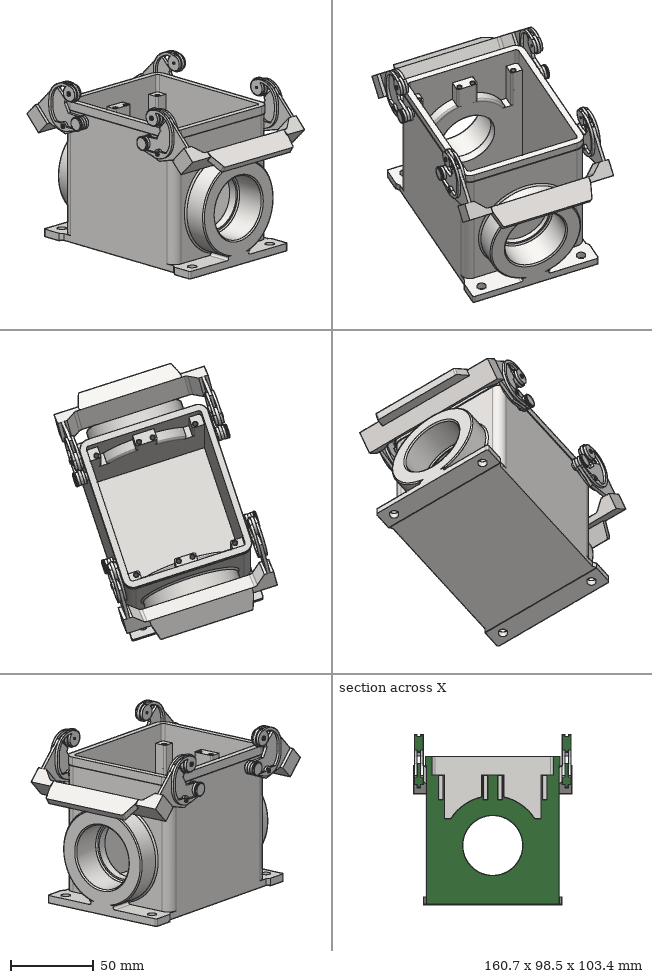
import cadquery as cq
import math

OVERLAP = 1.0
DIAGONAL = math.sqrt(0.5)

BODY_LENGTH = 95.0
BODY_WIDTH = 80.9
BODY_BOTTOM = 0.5
BODY_CORNER_R = 6.0
LIP_BOTTOM = 84.6
LIP_OVERHANG = 0.5
BODY_TOP = 90.2
CAVITY_LENGTH = 87.8
CAVITY_WIDTH = 73.6
CAVITY_CORNER_R = 1.8
FLOOR_TOP = 4.5

FOOT_END = 62.8
FOOT_INNER_END = 49.6
FOOT_TAPER_END = 47.2
FOOT_WIDTH = 84.0
FOOT_TOP = 4.8
FOOT_CORNER_R = 1.2
FOOT_ROOT_R = 1.2
MOUNT_HOLE_D = 5.6
MOUNT_HOLE_X = 56.1
MOUNT_HOLE_Y = 33.3

ENTRY_Z = 36.1
ENTRY_R = 30.3
ENTRY_ROOT_R = 1.1
ENTRY_EDGE = 0.8
NECK_FILLET_R = 1.3
BORE_R = 20.2
BORE_EDGE = 0.9
BORE_SEAT_CHAMFER = 0.9
THROAT_R = 18.2
THROAT_END = 42.4
MEMBRANE_FACE = 39.1

POST_FACE = 36.75
POST_TOP = 79.0
CORNER_POST_INNER_Y = 29.2
LEDGE_INNER_Y = 25.5
CENTER_POST_WIDTH = 13.6
POST_CORNER_R = 1.2
MOUND_EDGE_R = 1.4
LEDGE_Z = ENTRY_Z + math.sqrt(ENTRY_R**2 - LEDGE_INNER_Y**2)
SCREW_HOLE_D = 2.6
SCREW_HOLE_CHAMFER = 0.3
SCREW_HOLE_DEPTH = 15.0
SCREW_HOLE_X = 38.8
SCREW_HOLE_YS = (-31.6, -4.4, 4.4, 31.6)

PLATE_INNER_Y = 43.9
PLATE_OUTER_Y = 45.9
RIM_THICKNESS = 1.7
RIM_R = 13.0
RIM_INNER_R = 11.1
RIM_X = -40.0
LEVER_TOP = 103.44
RIM_UPPER_Z = LEVER_TOP - RIM_R
RIM_STRAIGHT = 4.4
RIM_LOWER_Z = RIM_UPPER_Z - RIM_STRAIGHT
RIM_FLOOR_Z = 77.7
RIM_TAIL_Z = 76.1
HOOK_X = -35.6
HOOK_R = 5.7
HOOK_CHEEK_R = 4.9
HOOK_Z = LEVER_TOP - HOOK_R
PIVOT_X = -28.3
PIVOT_Z = 80.2
PIVOT_DISC_R = 4.2
PIVOT_CORE_R = 4.0
PIVOT_SHAFT_R = 2.4
PIVOT_HEAD_R = 4.4
PIVOT_HEAD_BOTTOM = 48.1
PIVOT_HEAD_TOP = 49.25
PIVOT_HEAD_EDGE = 0.5
PIN_X = -40.7
PIN_Z = 76.1
PIN_R = 1.4
PIN_BOSS_R = 2.6
PIN_TIP_Y = 48.1
PIN_DIMPLE_R = 0.7
PIN_DIMPLE_DEPTH = 0.5
PLATE_NOTCH = [(-48.65, 100.1), (-40.4, 92.6), (-41.3, 90.4), (-37.8, 84.6)]
PLATE_HEEL = (-40.4, 70.9)

BAR_CORNER_X = -64.0
BAR_HEIGHT = 14.2
BAR_DEPTH = 10.4
BAR_SETBACK = 6.5
BAR_HALF_WIDTH = 48.1
BAR_BEVEL_OUTER_Y = 42.1
BAR_BEVEL_INNER_Y = 35.5
BAR_BEND_R = 2.9

HANDLE_TIP_X = -80.35
HANDLE_TIP_Z = 72.3
HANDLE_THICKNESS = 4.4
HANDLE_ROOT_Y = 32.7
HANDLE_TIP_Y = 29.6
HANDLE_STRAIGHT = 3.5
HANDLE_CORNER_R = 1.2


def box(x_range, y_range, z_range):
    """Axis-aligned box between two limits on each axis."""
    (x0, x1), (y0, y1), (z0, z1) = x_range, y_range, z_range
    return cq.Workplane("XY").box(x1 - x0, y1 - y0, z1 - z0, centered=False).translate((x0, y0, z0))


def x_cylinder(radius, x0, x1, y=0.0, z=ENTRY_Z):
    """Cylinder along X."""
    return cq.Workplane("YZ", origin=(x0, 0, 0)).center(y, z).circle(radius).extrude(x1 - x0)


def y_cylinder(radius, x, z, y0, y1):
    """Cylinder along Y."""
    return cq.Workplane("XZ", origin=(0, y0, 0)).center(x, z).circle(radius).extrude(y0 - y1)


def rounded_block(length, width, radius, z0, z1):
    """Upright block centred on the Z axis with rounded vertical edges."""
    block = cq.Workplane("XY", origin=(0, 0, z0)).rect(length, width).extrude(z1 - z0)
    return block.edges("|Z").fillet(radius)


def both_ends(shape):
    """A shape at the -X end together with its mirror image at the +X end."""
    return shape.union(shape.mirror("YZ"))


def both_sides(shape):
    """A shape on the +Y side together with its mirror image on the -Y side."""
    return shape.union(shape.mirror("XZ"))


def housing_shell():
    """Solid housing block with its lip."""
    shell = rounded_block(BODY_LENGTH, BODY_WIDTH, BODY_CORNER_R, BODY_BOTTOM, BODY_TOP)
    lip = rounded_block(
        BODY_LENGTH + 2 * LIP_OVERHANG,
        BODY_WIDTH + 2 * LIP_OVERHANG,
        BODY_CORNER_R + LIP_OVERHANG,
        LIP_BOTTOM,
        BODY_TOP,
    )
    return shell.union(lip)


def foot():
    """Foot plate at the -X end, tapering into the side walls of the housing."""
    half_width = FOOT_WIDTH / 2
    plate = box((-FOOT_END, -FOOT_INNER_END), (-half_width, half_width), (0, FOOT_TOP))
    plate = plate.edges("|Z and <X").fillet(FOOT_CORNER_R)
    one_side = [(-FOOT_INNER_END, half_width), (-FOOT_TAPER_END, BODY_WIDTH / 2), (0, BODY_WIDTH / 2)]
    outline = one_side + [(x, -y) for x, y in reversed(one_side)]
    taper = cq.Workplane("XY", origin=(0, 0, BODY_BOTTOM)).polyline(outline).close()
    return plate.union(taper.extrude(FOOT_TOP - BODY_BOTTOM))


def foot_root():
    """Concave fillet between the foot and the -X wall, following the rounded wall corners."""
    wall = -BODY_LENGTH / 2
    axis_y = BODY_WIDTH / 2 - BODY_CORNER_R
    top = FOOT_TOP + FOOT_ROOT_R
    bend = FOOT_ROOT_R * (1 - DIAGONAL)

    def profile(plane):
        sketch = cq.Workplane(plane).moveTo(-OVERLAP, 0).lineTo(FOOT_ROOT_R, 0)
        sketch = sketch.threePointArc((bend, bend), (0, FOOT_ROOT_R))
        return sketch.lineTo(-OVERLAP, FOOT_ROOT_R).close()

    straight = cq.Plane(origin=(wall, axis_y, FOOT_TOP), xDir=(-1, 0, 0), normal=(0, -1, 0))
    root = profile(straight).extrude(2 * axis_y)
    for side in (-1, 1):
        plane = cq.Plane(origin=(wall, side * axis_y, FOOT_TOP), xDir=(-1, 0, 0), normal=(0, -1, 0))
        turn = profile(plane).revolve(360, (-BODY_CORNER_R, 0, 0), (-BODY_CORNER_R, 1, 0))
        quarter = sorted((side * axis_y, side * FOOT_WIDTH / 2))
        root = root.union(turn.intersect(box((-FOOT_END, -FOOT_TAPER_END), quarter, (0, top))))
    return root


def mounting_holes():
    """Four holes through the feet."""
    points = [(sx * MOUNT_HOLE_X, sy * MOUNT_HOLE_Y) for sx in (-1, 1) for sy in (-1, 1)]
    return cq.Workplane("XY").pushPoints(points).circle(MOUNT_HOLE_D / 2).extrude(FOOT_TOP)


def entry_boss():
    """Round boss on the -X wall, standing on the foot through a filleted neck."""
    wall = -BODY_LENGTH / 2
    boss = x_cylinder(ENTRY_R, -FOOT_END, wall + OVERLAP).faces("<X").chamfer(ENTRY_EDGE)
    root = x_cylinder(ENTRY_R + ENTRY_ROOT_R, wall - ENTRY_ROOT_R, wall + OVERLAP)
    root = root.faces("<X").chamfer(ENTRY_ROOT_R)
    root = root.intersect(box((-FOOT_END, 0), (-FOOT_WIDTH, FOOT_WIDTH), (FOOT_TOP, BODY_TOP)))

    fillet_z = FOOT_TOP + NECK_FILLET_R
    fillet_y = math.sqrt((ENTRY_R + NECK_FILLET_R) ** 2 - (ENTRY_Z - fillet_z) ** 2)
    tangent_z = ENTRY_Z - (ENTRY_Z - fillet_z) * ENTRY_R / (ENTRY_R + NECK_FILLET_R)
    neck = box((-FOOT_END, wall), (-fillet_y, fillet_y), (FOOT_TOP, tangent_z))
    for side in (-1, 1):
        neck = neck.cut(x_cylinder(NECK_FILLET_R, -FOOT_END, wall, side * fillet_y, fillet_z))
    return boss.union(root).union(neck)


def end_wall_space():
    """Space to be cleared above the thick -X end wall, leaving the screw posts standing."""
    half_width = CAVITY_WIDTH / 2
    half_post = CENTER_POST_WIDTH / 2
    wall = -CAVITY_LENGTH / 2 - OVERLAP
    ends = (wall, -POST_FACE)
    base = box(ends, (-half_width, half_width), (0, LEDGE_Z)).union(x_cylinder(ENTRY_R, *ends))
    base = base.faces(">X").edges(">Z or (not(|Y or |Z))").fillet(MOUND_EDGE_R)
    posts = box(ends, (-half_post, half_post), (LEDGE_Z, POST_TOP))
    posts = posts.edges("|Z and >X").fillet(POST_CORNER_R)
    post = box(ends, (CORNER_POST_INNER_Y, half_width + OVERLAP), (0, POST_TOP))
    post = post.edges("|Z and >X and <Y").fillet(POST_CORNER_R)
    posts = posts.union(both_sides(post))
    space = box(ends, (-half_width, half_width), (0, BODY_TOP))
    return space.cut(base).cut(posts)


def cavity():
    """Inside of the housing, without the thick end walls and screw posts."""
    block = rounded_block(CAVITY_LENGTH, CAVITY_WIDTH, CAVITY_CORNER_R, FLOOR_TOP, BODY_TOP)
    middle = box((-POST_FACE, POST_FACE), (-BODY_WIDTH / 2, BODY_WIDTH / 2), (FLOOR_TOP, BODY_TOP))
    return block.intersect(middle.union(both_ends(end_wall_space())))


def screw_holes():
    """Chamfered blind holes in the tops of the screw posts."""
    points = [(sx * SCREW_HOLE_X, y) for sx in (-1, 1) for y in SCREW_HOLE_YS]
    radius = SCREW_HOLE_D / 2
    top = cq.Workplane("XY", origin=(0, 0, POST_TOP)).pushPoints(points)
    holes = top.circle(radius).extrude(-SCREW_HOLE_DEPTH)
    for x, y in points:
        start = cq.Vector(x, y, POST_TOP)
        down = cq.Vector(0, 0, -1)
        mouth = cq.Solid.makeCone(radius + SCREW_HOLE_CHAMFER, radius, SCREW_HOLE_CHAMFER, start, down)
        holes = holes.union(cq.Workplane(mouth))
    return holes


def entry_bores():
    """Stepped bores: closed by a thin membrane at the -X end, open right through at the +X end."""
    bore = x_cylinder(BORE_R, -FOOT_END, -THROAT_END).faces(">X").chamfer(BORE_SEAT_CHAMFER)
    mouth = cq.Workplane("YZ", origin=(-FOOT_END, 0, 0)).center(0, ENTRY_Z).circle(BORE_R + BORE_EDGE)
    mouth = mouth.workplane(offset=BORE_EDGE).circle(BORE_R).loft()
    closed_throat = x_cylinder(THROAT_R, -FOOT_END, -MEMBRANE_FACE)
    open_throat = x_cylinder(THROAT_R, POST_FACE - OVERLAP, FOOT_END)
    return both_ends(bore.union(mouth)).union(closed_throat).union(open_throat)


def bar_point(along, across):
    """Point (x, z) at a distance along the lever arm (down, outwards) and across it (down, inwards)."""
    top_z = bar_corner_z()
    return (BAR_CORNER_X + (across - along) * DIAGONAL, top_z - (across + along) * DIAGONAL)


def bar_corner_z():
    """Height at which the 45 degree upper edge, tangent to the rim, reaches the crossbar."""
    return RIM_UPPER_Z + RIM_R * math.sqrt(2) + BAR_CORNER_X - RIM_X


def tail_tangent_points():
    """Ends of the straight lower edge that touches both the rim and the pivot disc."""
    dx = PIVOT_X - RIM_X
    dz = PIVOT_Z - RIM_LOWER_Z
    angle = math.atan2(dz, dx) - math.acos((RIM_R - PIVOT_DISC_R) / math.hypot(dx, dz))
    rim_end = (RIM_X + RIM_R * math.cos(angle), RIM_LOWER_Z + RIM_R * math.sin(angle))
    pivot_end = (PIVOT_X + PIVOT_DISC_R * math.cos(angle), PIVOT_Z + PIVOT_DISC_R * math.sin(angle))
    return rim_end, pivot_end


def rim(y0, y1):
    """C-shaped rim that runs from the pivot round to the hook."""
    def stadium(radius):
        upper = y_cylinder(radius, RIM_X, RIM_UPPER_Z, y0, y1)
        lower = y_cylinder(radius, RIM_X, RIM_LOWER_Z, y0, y1)
        middle = box((RIM_X - radius, RIM_X + radius), (y0, y1), (RIM_LOWER_Z, RIM_UPPER_Z))
        return upper.union(lower).union(middle)

    right_end = RIM_X + RIM_R
    rim_end, pivot_end = tail_tangent_points()
    tail = cq.Workplane("XZ", origin=(0, y0, 0))
    tail = tail.polyline([rim_end, pivot_end, (PIVOT_X, PIVOT_Z), (RIM_X, RIM_LOWER_Z)]).close()
    shape = stadium(RIM_R).union(tail.extrude(y0 - y1))

    above_floor = box((RIM_X - RIM_R, PIN_X), (y0, y1), (RIM_FLOOR_Z, LEVER_TOP))
    above_tail = box((PIN_X, right_end), (y0, y1), (RIM_TAIL_Z, LEVER_TOP))
    opening = stadium(RIM_INNER_R).intersect(above_floor.union(above_tail))
    below_hook = box((PIN_X, right_end), (y0, y1), (RIM_TAIL_Z, RIM_UPPER_Z))
    beyond_hook = box((HOOK_X, right_end), (y0, y1), (RIM_UPPER_Z, LEVER_TOP))
    shape = shape.cut(opening).cut(below_hook).cut(beyond_hook)

    for radius, x, z in (
        (HOOK_CHEEK_R, HOOK_X, HOOK_Z),
        (PIN_BOSS_R, PIN_X, PIN_Z),
        (PIVOT_DISC_R, PIVOT_X, PIVOT_Z),
    ):
        shape = shape.union(y_cylinder(radius, x, z, y0, y1))
    return shape


def cheek():
    """Lever cheek on the +Y side: middle plate, a rim on both of its faces, hook roller, pins and pivot."""
    pivot_end = tail_tangent_points()[1]
    outline = [
        bar_point(0, 0),
        *PLATE_NOTCH,
        (PIVOT_X, PIVOT_Z + PIVOT_CORE_R),
        (PIVOT_X, PIVOT_Z),
        pivot_end,
        PLATE_HEEL,
        bar_point(0, BAR_HEIGHT),
    ]
    shape = cq.Workplane("XZ", origin=(0, PLATE_INNER_Y, 0)).polyline(outline).close()
    shape = shape.extrude(PLATE_INNER_Y - PLATE_OUTER_Y)
    inner_y = PLATE_INNER_Y - RIM_THICKNESS
    outer_y = PLATE_OUTER_Y + RIM_THICKNESS
    shape = shape.union(rim(inner_y, PLATE_INNER_Y)).union(rim(PLATE_OUTER_Y, outer_y))
    shape = shape.union(y_cylinder(HOOK_R, HOOK_X, HOOK_Z, PLATE_INNER_Y, PLATE_OUTER_Y))
    shape = shape.union(y_cylinder(PIVOT_CORE_R, PIVOT_X, PIVOT_Z, PLATE_INNER_Y, PLATE_OUTER_Y))

    head = y_cylinder(PIVOT_HEAD_R, PIVOT_X, PIVOT_Z, PIVOT_HEAD_BOTTOM, PIVOT_HEAD_TOP)
    head = head.faces(">Y").chamfer(PIVOT_HEAD_EDGE)
    shaft = y_cylinder(PIVOT_SHAFT_R, PIVOT_X, PIVOT_Z, BODY_WIDTH / 2 - OVERLAP, PIVOT_HEAD_TOP)
    shape = shape.union(head).union(shaft)

    for x, z in ((HOOK_X, HOOK_Z), (PIN_X, PIN_Z)):
        shape = shape.union(y_cylinder(PIN_R, x, z, outer_y, PIN_TIP_Y))
        shape = shape.cut(y_cylinder(PIN_DIMPLE_R, x, z, PIN_TIP_Y - PIN_DIMPLE_DEPTH, PIN_TIP_Y))
        shape = shape.cut(y_cylinder(PIN_DIMPLE_R, x, z, inner_y, inner_y + PIN_DIMPLE_DEPTH))
    return shape


def crossbar():
    """Bar across the lever, standing at 45 degrees, set back between its two end blocks."""
    x, z = bar_point(0, 0)
    plane = cq.Plane(origin=(x, 0, z), xDir=(0, -1, 0), normal=(DIAGONAL, 0, -DIAGONAL))
    one_side = [(-BAR_HALF_WIDTH, BAR_DEPTH), (-BAR_HALF_WIDTH, 0), (-BAR_BEVEL_OUTER_Y, 0)]
    one_side += [(-BAR_BEVEL_INNER_Y, BAR_SETBACK)]
    outline = one_side + [(-y, along) for y, along in reversed(one_side)]
    bar = cq.Workplane(plane).polyline(outline).close().extrude(BAR_HEIGHT)
    bends = cq.selectors.BoxSelector(
        (x - BAR_HEIGHT, -BAR_BEVEL_INNER_Y - OVERLAP, 0), (x + BAR_HEIGHT, BAR_BEVEL_INNER_Y + OVERLAP, z)
    )
    return bar.edges(bends).edges("not |Y").fillet(BAR_BEND_R)


def handle():
    """Tapered handle tab sloping down and outwards, flush with the upper edge of the crossbar."""
    root_x, root_z = bar_point(BAR_SETBACK, 0)
    run = root_x - HANDLE_TIP_X
    rise = root_z - HANDLE_TIP_Z
    length = math.hypot(run, rise)
    tip = (HANDLE_TIP_X, 0, HANDLE_TIP_Z)
    plane = cq.Plane(origin=tip, xDir=(run, 0, rise), normal=(rise, 0, -run))
    one_side = [(0, HANDLE_TIP_Y), (length - HANDLE_STRAIGHT, HANDLE_ROOT_Y), (length, HANDLE_ROOT_Y)]
    outline = one_side + [(x, -y) for x, y in reversed(one_side)]
    tab = cq.Workplane(plane).polyline(outline).close().extrude(HANDLE_THICKNESS)
    tip_corners = cq.selectors.BoxSelector(
        (HANDLE_TIP_X - OVERLAP, -FOOT_WIDTH, 0), (HANDLE_TIP_X + HANDLE_THICKNESS, FOOT_WIDTH, LEVER_TOP)
    )
    return tab.edges(tip_corners).edges("#Y").fillet(HANDLE_CORNER_R)


def lever():
    """Complete lever at the -X end."""
    return both_sides(cheek()).union(crossbar()).union(handle())


housing = housing_shell().union(both_ends(foot().union(foot_root()))).union(both_ends(entry_boss()))
housing = housing.cut(cavity()).cut(screw_holes()).cut(entry_bores()).cut(mounting_holes())
result = housing.union(both_ends(lever()))